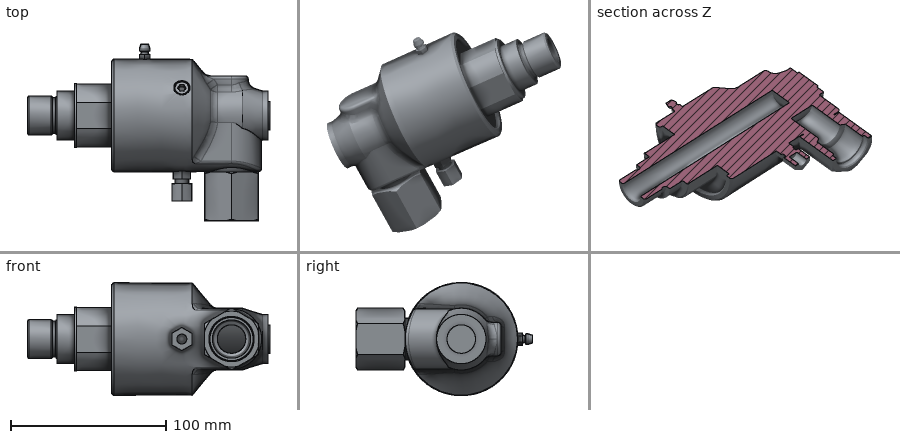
import cadquery as cq
import math


spigot_d = 25.36
spigot_chamfer = 1.0
groove_d = 23.4
groove_start = 15.3
groove_end = 18.0
groove_slope = 0.9
shoulder_start = 18.9
shoulder_d = 31.7
flange_start = 30.2
flange_width = 1.5
flange_d = 41.3
wrench_d = 44.2
wrench_across_flats = 40.8
shaft_bore_d = 16.0
shaft_bore_chamfer = 0.6

housing_start = 54.1
housing_d = 73.0
housing_chamfer = 1.5
housing_draft = 0.3
recess_d = 62.5
recess_depth = 2.5
recess_chamfer = 0.6
cone_start = 106.1
cone_slope = 50.3
neck_d = 39.8
neck_fillet = 6.0
taper_start = 138.5
tail_start = 151.2
tail_d = 31.8
tail_end = 154.9
plug_d = 18.36
overall_length = 156.2

port_x = 131.4
branch_half_width = 19.4
branch_edge_fillet = 2.0
branch_root_overlap = 20.0
rib_half_width = 10.8
rib_reach = 25.6
rib_edge_fillet = 2.2

collar_d = 27.0
nut_start = 36.3
nut_end = 67.9
nut_across_flats = 34.7
nut_chamfer_d = 36.0
nut_chamfer_angle = 30.0
port_relief_d = 27.8
port_relief_depth = 4.0
port_relief_chamfer = 0.7
port_bore_d = 24.69
port_bore_depth = 20.0
port_hole_d = 18.36
port_drill_angle = 118.0
port_floor_d = 40.0

fitting_x = 99.4
fitting_base_across_flats = 11.3
fitting_base_end = 41.0
fitting_neck_d = 9.07
fitting_nut_start = 43.8
fitting_nut_end = 55.1
fitting_nut_across_flats = 12.9
fitting_bore_d = 6.39
fitting_bore_depth = 9.0

nipple_x = 75.5
nipple_hex_across_flats = 6.9
nipple_hex_end = 39.4
nipple_neck_d = 5.36
nipple_waist_d = 4.4
nipple_waist_end = 41.0
nipple_bead_start = 41.7
nipple_bead_end = 42.9
nipple_bead_d = 6.9
nipple_tip_d = 5.0
nipple_tip_end = 45.96

screw_x = 99.4
screw_tilt = 30.0
screw_d = 9.07
screw_hole_d = 10.4
screw_sink = 0.8
screw_gap_depth = 1.6
screw_socket_across_flats = 4.6
screw_socket_depth = 3.0

housing_r = housing_d / 2
draft_slope = math.tan(math.radians(housing_draft))
rear_r = housing_r - (cone_start - housing_start) * draft_slope
neck_r = neck_d / 2
edge_margin = 0.3
cone_end = cone_start + (rear_r - neck_r) / math.tan(math.radians(cone_slope))


def cylinder_x(diameter, start, end):
    return cq.Workplane("YZ", origin=(start, 0, 0)).circle(diameter / 2).extrude(end - start)


def cylinder_y(x, diameter, start, end):
    """Round bar parallel to Y between two Y positions."""
    return cq.Workplane("XZ", origin=(x, start, 0)).circle(diameter / 2).extrude(start - end)


def hexagon_y(x, across_flats, start, end):
    """Hexagonal bar parallel to Y with two corners pointing along Z."""
    corners = across_flats / math.cos(math.radians(30))
    bar = cq.Workplane("XZ").polygon(6, corners).extrude(start - end)
    return bar.rotate((0, 0, 0), (0, 1, 0), 30).translate((x, start, 0))


def turned_y(x, profile):
    """Solid of revolution about the Y-parallel line at x; profile points are (radius, y)."""
    return cq.Workplane("XY").polyline(profile).close().revolve(360, (0, 0), (0, 1)).translate((x, 0, 0))


def make_shaft():
    spigot_r = spigot_d / 2
    groove_r = groove_d / 2
    shoulder_r = shoulder_d / 2
    flange_r = flange_d / 2
    flange_end = flange_start + flange_width
    profile = [
        (0, 0),
        (0, spigot_r - spigot_chamfer),
        (spigot_chamfer, spigot_r),
        (groove_start, spigot_r),
        (groove_start + groove_slope, groove_r),
        (groove_end, groove_r),
        (shoulder_start, groove_r + groove_slope),
        (shoulder_start, shoulder_r),
        (flange_start, shoulder_r),
        (flange_start, flange_r),
        (flange_end, flange_r),
        (flange_end, 0),
    ]
    turned = cq.Workplane("XY").polyline(profile).close().revolve(360, (0, 0), (1, 0))
    block_end = housing_start + recess_depth
    flats = cq.Workplane("YZ", origin=(flange_end, 0, 0)).rect(wrench_across_flats, wrench_across_flats)
    block = flats.extrude(block_end - flange_end).intersect(cylinder_x(wrench_d, flange_end, block_end))
    return turned.union(block)


def make_slot_block(half_width, root_x, y_start, y_end):
    """Block along Y with flat sides from root_x to a round end about the port axis."""
    outline = (
        cq.Workplane("XZ", origin=(0, y_start, 0))
        .moveTo(root_x, -half_width)
        .lineTo(port_x, -half_width)
        .threePointArc((port_x + half_width, 0), (port_x, half_width))
        .lineTo(root_x, half_width)
        .close()
    )
    return outline.extrude(y_start - y_end)


def housing_radius(x):
    """Radius of the drafted housing wall, continued over the branch."""
    return housing_r - (x - housing_start) * draft_slope


def make_turned_body():
    profile = [
        (housing_start, 0),
        (housing_start, housing_r - housing_chamfer),
        (housing_start + housing_chamfer, housing_radius(housing_start + housing_chamfer)),
        (cone_start, housing_radius(cone_start)),
        (cone_end, neck_r),
        (taper_start, neck_r),
        (tail_start, tail_d / 2),
        (tail_end, tail_d / 2),
        (tail_end, 0),
    ]
    return cq.Workplane("XY").polyline(profile).close().revolve(360, (0, 0), (1, 0))


def make_branch():
    """Branch whose outer end follows the housing wall; its root lies inside the housing."""
    root_x = cone_start - branch_root_overlap
    wall = cq.Solid.makeCone(
        housing_radius(root_x),
        housing_radius(overall_length),
        overall_length - root_x,
        cq.Vector(root_x, 0, 0),
        cq.Vector(1, 0, 0),
    )
    block = make_slot_block(branch_half_width, root_x, 0, -housing_d)
    branch = block.intersect(cq.Workplane(wall))
    return branch.faces("<Y").edges(">Z").fillet(branch_edge_fillet)


def make_rib():
    rib = make_slot_block(rib_half_width, cone_start, rib_reach, 0)
    return rib.faces(">Y").edges("|X").fillet(rib_edge_fillet)


def make_housing():
    housing = make_turned_body().union(make_branch()).union(make_rib())

    cone_edges = cq.selectors.BoxSelector(
        (cone_start + edge_margin, -housing_r, -housing_r),
        (cone_end + edge_margin, housing_r, housing_r),
        boundingbox=True,
    )
    rib_root_edges = cq.selectors.BoxSelector(
        (cone_end - edge_margin, rib_half_width, -neck_r),
        (port_x + rib_half_width + edge_margin, neck_r, neck_r),
        boundingbox=True,
    )
    return housing.edges(cone_edges + rib_root_edges).fillet(neck_fillet)


def cut_recess(part):
    recess_r = recess_d / 2
    floor_x = housing_start + recess_depth
    profile = [
        (housing_start, 0),
        (housing_start, recess_r + recess_chamfer),
        (housing_start + recess_chamfer, recess_r),
        (floor_x, recess_r),
        (floor_x, 0),
    ]
    return part.cut(cq.Workplane("XY").polyline(profile).close().revolve(360, (0, 0), (1, 0)))


def make_port_nut():
    nut_r = nut_across_flats / math.cos(math.radians(30)) / 2
    chamfer_r = nut_chamfer_d / 2
    run = (nut_r - chamfer_r) * math.tan(math.radians(nut_chamfer_angle))
    envelope = turned_y(
        port_x,
        [
            (0, -nut_start),
            (chamfer_r, -nut_start),
            (nut_r, -nut_start - run),
            (nut_r, -nut_end + run),
            (chamfer_r, -nut_end),
            (0, -nut_end),
        ],
    )
    nut = hexagon_y(port_x, nut_across_flats, -nut_start, -nut_end).intersect(envelope)
    return nut.union(cylinder_y(port_x, collar_d, -neck_r, -nut_start))


def make_port_cavity():
    """Stepped port bore with a drill-point shoulder and a cylindrical floor about the main axis."""
    relief_r = port_relief_d / 2
    bore_r = port_bore_d / 2
    hole_r = port_hole_d / 2
    relief_y = port_relief_depth - nut_end
    bore_y = port_bore_depth - nut_end
    hole_y = bore_y + (bore_r - hole_r) / math.tan(math.radians(port_drill_angle / 2))
    cavity = turned_y(
        port_x,
        [
            (0, -nut_end),
            (relief_r + port_relief_chamfer, -nut_end),
            (relief_r, port_relief_chamfer - nut_end),
            (relief_r, relief_y),
            (bore_r, relief_y),
            (bore_r, bore_y),
            (hole_r, hole_y),
            (hole_r, 0),
            (0, 0),
        ],
    )
    return cavity.cut(cylinder_x(port_floor_d, housing_start, overall_length))


def make_fitting():
    base = hexagon_y(fitting_x, fitting_base_across_flats, -neck_r, -fitting_base_end)
    neck = cylinder_y(fitting_x, fitting_neck_d, -fitting_base_end, -fitting_nut_start)
    nut = hexagon_y(fitting_x, fitting_nut_across_flats, -fitting_nut_start, -fitting_nut_end)
    bore = cylinder_y(fitting_x, fitting_bore_d, fitting_bore_depth - fitting_nut_end, -fitting_nut_end)
    return base.union(neck).union(nut).cut(bore)


def make_nipple():
    hexagon = hexagon_y(nipple_x, nipple_hex_across_flats, nipple_hex_end, neck_r)
    stem = turned_y(
        nipple_x,
        [
            (0, nipple_hex_end),
            (nipple_neck_d / 2, nipple_hex_end),
            (nipple_waist_d / 2, nipple_waist_end),
            (nipple_bead_d / 2, nipple_bead_start),
            (nipple_bead_d / 2, nipple_bead_end),
            (nipple_tip_d / 2, nipple_tip_end),
            (0, nipple_tip_end),
        ],
    )
    return hexagon.union(stem)


def cut_screw(part):
    """Counterbored socket screw, leaning from +Z towards +Y."""
    head_z = housing_r - screw_sink
    pocket = cq.Workplane("XY", origin=(0, 0, head_z)).circle(screw_hole_d / 2).extrude(housing_r)
    gap = (
        cq.Workplane("XY", origin=(0, 0, head_z - screw_gap_depth))
        .circle(screw_hole_d / 2)
        .circle(screw_d / 2)
        .extrude(screw_gap_depth)
    )
    corners = screw_socket_across_flats / math.cos(math.radians(30))
    socket = (
        cq.Workplane("XY", origin=(0, 0, head_z - screw_socket_depth))
        .polygon(6, corners)
        .extrude(screw_socket_depth)
    )
    tool = pocket.union(gap).union(socket)
    return part.cut(tool.rotate((0, 0, 0), (1, 0, 0), -screw_tilt).translate((screw_x, 0, 0)))


def cut_shaft_bore(part):
    mouth_d = shaft_bore_d + 2 * shaft_bore_chamfer
    mouth = cq.Solid.makeCone(
        mouth_d / 2, shaft_bore_d / 2, shaft_bore_chamfer, cq.Vector(0, 0, 0), cq.Vector(1, 0, 0)
    )
    return part.cut(cylinder_x(shaft_bore_d, 0, port_x)).cut(cq.Workplane(mouth))


result = cut_recess(make_housing())
result = result.union(make_shaft())
result = result.union(cylinder_x(plug_d, tail_end, overall_length))
result = result.union(make_port_nut()).cut(make_port_cavity())
result = result.union(make_fitting()).union(make_nipple())
result = cut_shaft_bore(cut_screw(result))